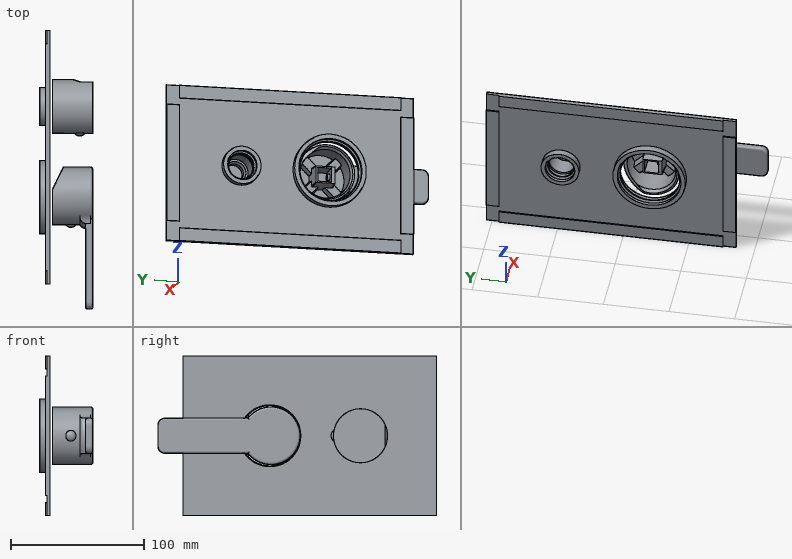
import cadquery as cq
import math

PLATE_LENGTH = 190.1
PLATE_HEIGHT = 120.0
PLATE_BOTTOM_Y = -65.2
PLATE_BACK_X = 5.5
PLATE_FRONT_X = 8.0
STRIP_WIDTH = 9.8
STRIP_THICKNESS = 1.0
SIDE_STRIP_END_GAP = 15.0

LARGE_COLLAR_RADIUS = 27.5
LARGE_PORT_RADIUS = 22.5
SMALL_COLLAR_RADIUS = 14.5
SMALL_PORT_RADIUS = 9.6
SMALL_PORT_Y = 68.0
PORT_RECESS_DEPTH = 2.5
PORT_LIP_RADIUS = 1.7
PORT_RELIEF = 0.6

CONTROL_BACK_X = 9.6
CONTROL_FRONT_X = 40.0
DOT_RADIUS = 4.8
DOT_HEIGHT = 1.9

HANDLE_Y = 0.8
HANDLE_RADIUS = 21.7
HANDLE_EDGE_RADIUS = 1.9
HANDLE_DOT_X = 23.5
RELIEF_BACK_OFFSET = 5.0
RELIEF_FRONT_X = 17.8
CAVITY_RADIUS = 18.8
CAVITY_MOUTH_RADIUS = 20.3
CAVITY_MOUTH_DEPTH = 2.7
CAVITY_FLOOR_X = 32.4

SOCKET_BACK_X = 15.5
SOCKET_UPPER_OFFSET = 6.7
SOCKET_LOWER_OFFSET = 8.0
SOCKET_HEIGHT = 12.7
SOCKET_DRAFT = 5.0
SQUARE_HOLE = 10.7
STUD_RADIUS = 2.5
STUD_REACH = 1.9
RIB_WIDTH = 6.7
RIB_HEIGHT = 6.3
RIB_DRAFT = 8.0

LEVER_TIP_Y = -84.0
LEVER_THICKNESS = 5.5
LEVER_WIDTH = 26.3
LEVER_CORNER_RADIUS = 5.2
LEVER_EDGE_RADIUS = 1.5
FLARE_WIDTH = 31.3
FLARE_BACK_X = 30.0
FLARE_REACH = 2.7
FLARE_SIDE_REACH = 6.5

KNOB_RADIUS = 20.3
KNOB_DOT_X = 30.0
KNOB_SOCKET_RADIUS = 10.0
KNOB_SOCKET_FLOOR_X = 24.0
KNOB_BORE_MOUTH_RADIUS = 8.4
KNOB_BORE_MOUTH_DEPTH = 2.7
KNOB_BORE_RADIUS = 7.0
KNOB_BORE_FLOOR_X = 31.3
FLAT_DEPTH = 1.9
FLAT_RAMP_START_X = 25.0
FLAT_RAMP_END_X = 31.0

LEVER_BACK_X = CONTROL_FRONT_X - LEVER_THICKNESS


def disc(radius, x_start, x_end, y_centre):
    """Cylinder along X, centred at the given Y."""
    return (
        cq.Workplane("YZ", origin=(x_start, y_centre, 0))
        .circle(radius)
        .extrude(x_end - x_start)
    )


def block(x_range, y_range, z_range):
    """Box between the given limits."""
    (x0, x1), (y0, y1), (z0, z1) = x_range, y_range, z_range
    return cq.Workplane("XY").box(x1 - x0, y1 - y0, z1 - z0, centered=False).translate((x0, y0, z0))


def turned(points, y_centre):
    """Solid of revolution about the X axis through y_centre, from (x, radius) points."""
    profile = cq.Workplane("XY", origin=(0, y_centre, 0)).polyline(points).close()
    return profile.revolve(360, (0, 0, 0), (1, 0, 0))


def blind_bore(x_mouth, mouth_radius, mouth_depth, radius, x_floor, y_centre):
    """Blind bore along +X whose mouth narrows as a cone."""
    return turned(
        [
            (x_mouth, 0),
            (x_mouth, mouth_radius),
            (x_mouth + mouth_depth, radius),
            (x_floor, radius),
            (x_floor, 0),
        ],
        y_centre,
    )


def marker_dot(x, y_centre, body_radius):
    """Ball that stands proud of the -Y side of a round body."""
    y = y_centre - body_radius - DOT_HEIGHT + DOT_RADIUS
    return cq.Workplane("XY").sphere(DOT_RADIUS).translate((x, y, 0))


def port_cutter(radius, y_centre):
    """Through bore: a recess at the back, a quarter-round lip, then a slightly wider plate hole."""
    recess_radius = radius + PORT_LIP_RADIUS
    hole_radius = radius + PORT_RELIEF
    lip_end_x = PORT_RECESS_DEPTH + PORT_LIP_RADIUS
    arc_offset = PORT_LIP_RADIUS * (1 - math.sqrt(0.5))
    arc_middle = (PORT_RECESS_DEPTH + arc_offset, radius + arc_offset)
    return (
        cq.Workplane("XY", origin=(0, y_centre, 0))
        .lineTo(0, recess_radius)
        .lineTo(PORT_RECESS_DEPTH, recess_radius)
        .threePointArc(arc_middle, (lip_end_x, radius))
        .lineTo(lip_end_x, hole_radius)
        .lineTo(PLATE_FRONT_X, hole_radius)
        .lineTo(PLATE_FRONT_X, 0)
        .close()
        .revolve(360, (0, 0, 0), (1, 0, 0))
    )


def make_plate():
    y0 = PLATE_BOTTOM_Y
    y1 = y0 + PLATE_LENGTH
    z_top = PLATE_HEIGHT / 2
    plate = block((PLATE_BACK_X, PLATE_FRONT_X), (y0, y1), (-z_top, z_top))

    strip_x = (PLATE_BACK_X - STRIP_THICKNESS, PLATE_BACK_X)
    long_y = (y0 + STRIP_WIDTH, y1 - STRIP_WIDTH)
    for z_low in (-z_top, z_top - STRIP_WIDTH):
        plate = plate.union(block(strip_x, long_y, (z_low, z_low + STRIP_WIDTH)))
    z_side = z_top - SIDE_STRIP_END_GAP
    for y_low in (y0, y1 - STRIP_WIDTH):
        plate = plate.union(block(strip_x, (y_low, y_low + STRIP_WIDTH), (-z_side, z_side)))

    ports = (
        (LARGE_COLLAR_RADIUS, LARGE_PORT_RADIUS, 0),
        (SMALL_COLLAR_RADIUS, SMALL_PORT_RADIUS, SMALL_PORT_Y),
    )
    for collar_radius, port_radius, y in ports:
        plate = plate.union(disc(collar_radius, 0, PLATE_BACK_X, y))
        plate = plate.cut(port_cutter(port_radius, y))
    return plate


def make_lever():
    """Flat lever with rounded tip corners and rounded long edges."""
    root_y = HANDLE_Y - HANDLE_RADIUS / 2
    half_width = LEVER_WIDTH / 2
    lever = block(
        (LEVER_BACK_X, CONTROL_FRONT_X), (LEVER_TIP_Y, root_y), (-half_width, half_width)
    )
    lever = lever.edges("|X and <Y").fillet(LEVER_CORNER_RADIUS)
    return lever.faces("<X or >X").edges("not(>Y)").fillet(LEVER_EDGE_RADIUS)


def make_flare():
    """Concave flare from the handle wall to the back and sides of the lever."""
    outer_radius = HANDLE_RADIUS + FLARE_REACH
    front_x = CONTROL_FRONT_X - HANDLE_EDGE_RADIUS
    back_run = LEVER_BACK_X - FLARE_BACK_X
    back_arc_radius = (back_run**2 + FLARE_REACH**2) / (2 * FLARE_REACH)
    ring = (
        cq.Workplane("XY", origin=(0, HANDLE_Y, 0))
        .moveTo(FLARE_BACK_X, HANDLE_RADIUS)
        .radiusArc((LEVER_BACK_X, outer_radius), back_arc_radius)
        .lineTo(front_x, outer_radius)
        .lineTo(front_x, CAVITY_RADIUS)
        .lineTo(FLARE_BACK_X, CAVITY_RADIUS)
        .close()
        .revolve(360, (0, 0, 0), (1, 0, 0))
    )
    wide = FLARE_WIDTH / 2
    narrow = LEVER_WIDTH / 2
    wall_y = -math.sqrt(HANDLE_RADIUS**2 - wide**2)
    narrow_y = wall_y - FLARE_SIDE_REACH
    half_outline = (
        cq.Workplane("YZ", origin=(FLARE_BACK_X, HANDLE_Y, 0))
        .moveTo(-outer_radius, 0)
        .lineTo(-outer_radius, narrow)
        .lineTo(narrow_y, narrow)
        .tangentArcPoint((wall_y, wide), relative=False)
        .lineTo(wall_y, 0)
        .close()
        .extrude(front_x - FLARE_BACK_X)
    )
    outline = half_outline.union(half_outline.mirror("XY"))
    return ring.intersect(outline)


def make_socket():
    """Drafted boss with four diagonal ribs, standing on the cavity floor."""
    centre_y = HANDLE_Y + (SOCKET_UPPER_OFFSET - SOCKET_LOWER_OFFSET) / 2
    socket = (
        cq.Workplane("YZ", origin=(SOCKET_BACK_X, centre_y, 0))
        .rect(SOCKET_UPPER_OFFSET + SOCKET_LOWER_OFFSET, SOCKET_HEIGHT)
        .extrude(CAVITY_FLOOR_X - SOCKET_BACK_X, taper=-SOCKET_DRAFT)
    )
    for angle in (45, 135):
        rib_pair = (
            cq.Workplane("YZ", origin=(CAVITY_FLOOR_X - RIB_HEIGHT, HANDLE_Y, 0))
            .transformed(rotate=(0, 0, angle))
            .rect(2 * CAVITY_RADIUS, RIB_WIDTH)
            .extrude(RIB_HEIGHT, taper=-RIB_DRAFT)
        )
        socket = socket.union(rib_pair)
    return socket.intersect(disc(HANDLE_RADIUS, SOCKET_BACK_X, CAVITY_FLOOR_X, HANDLE_Y))


def make_handle():
    barrel = disc(HANDLE_RADIUS, CONTROL_BACK_X, CONTROL_FRONT_X, HANDLE_Y)
    barrel = barrel.faces(">X").edges().fillet(HANDLE_EDGE_RADIUS)
    handle = barrel.union(make_lever()).union(make_flare())
    handle = handle.union(marker_dot(HANDLE_DOT_X, HANDLE_Y, HANDLE_RADIUS))

    relief = (
        cq.Workplane("XY", origin=(0, HANDLE_Y, -HANDLE_RADIUS))
        .moveTo(CONTROL_BACK_X, RELIEF_BACK_OFFSET)
        .lineTo(RELIEF_FRONT_X, HANDLE_RADIUS)
        .lineTo(CONTROL_BACK_X, HANDLE_RADIUS)
        .close()
        .extrude(2 * HANDLE_RADIUS)
    )
    handle = handle.cut(relief)
    cavity = blind_bore(
        CONTROL_BACK_X, CAVITY_MOUTH_RADIUS, CAVITY_MOUTH_DEPTH, CAVITY_RADIUS, CAVITY_FLOOR_X, HANDLE_Y
    )
    handle = handle.cut(cavity).union(make_socket())

    half = SQUARE_HOLE / 2
    hole = block(
        (SOCKET_BACK_X, CAVITY_FLOOR_X), (HANDLE_Y - half, HANDLE_Y + half), (-half, half)
    )
    stud = (
        cq.Workplane("XZ", origin=(HANDLE_DOT_X, HANDLE_Y - half + STUD_REACH, 0))
        .circle(STUD_RADIUS)
        .extrude(2 * STUD_REACH)
    )
    return handle.cut(hole).union(stud)


def make_knob():
    knob = disc(KNOB_RADIUS, CONTROL_BACK_X, CONTROL_FRONT_X, SMALL_PORT_Y)
    knob = knob.union(marker_dot(KNOB_DOT_X, SMALL_PORT_Y, KNOB_RADIUS))

    flat_offset = KNOB_RADIUS - FLAT_DEPTH
    flat = (
        cq.Workplane("XY", origin=(0, SMALL_PORT_Y, -KNOB_RADIUS))
        .moveTo(FLAT_RAMP_START_X, KNOB_RADIUS)
        .lineTo(FLAT_RAMP_END_X, flat_offset)
        .lineTo(CONTROL_FRONT_X, flat_offset)
        .lineTo(CONTROL_FRONT_X, KNOB_RADIUS)
        .close()
        .extrude(2 * KNOB_RADIUS)
    )
    socket = disc(KNOB_SOCKET_RADIUS, CONTROL_BACK_X, KNOB_SOCKET_FLOOR_X, SMALL_PORT_Y)
    bore = blind_bore(
        KNOB_SOCKET_FLOOR_X,
        KNOB_BORE_MOUTH_RADIUS,
        KNOB_BORE_MOUTH_DEPTH,
        KNOB_BORE_RADIUS,
        KNOB_BORE_FLOOR_X,
        SMALL_PORT_Y,
    )
    return knob.cut(flat).cut(socket).cut(bore)


plate = make_plate()
handle = make_handle()
knob = make_knob()
result = cq.Compound.makeCompound([plate.val(), handle.val(), knob.val()])